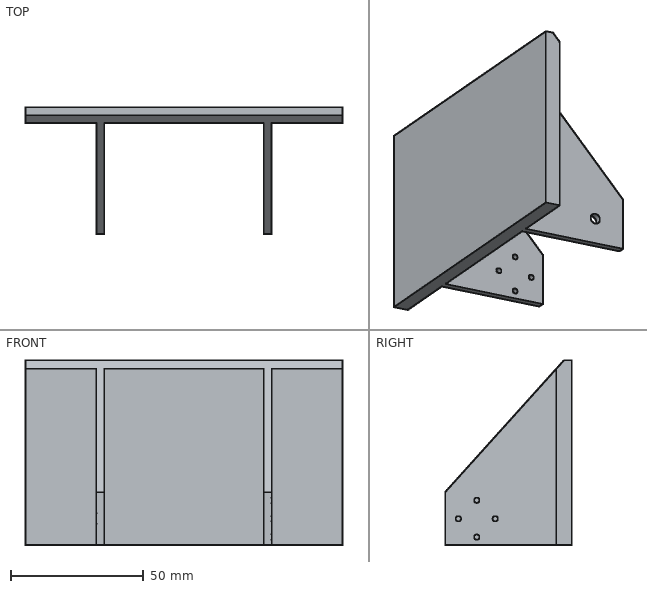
import cadquery as cq

plate_width = 120.0
plate_thickness = 6.0
height = 70.0
depth = 48.0

top_flat = 3.0
front_edge_height = 20.0

rib_thickness = 3.0
rib_inset = 26.9

pivot_from_front = 12.0
pivot_height = 10.0
pivot_diameter = 4.0
screw_diameter = 2.0
screw_circle_radius = 7.0
screw_count = 4

plate_left = -plate_width / 2
left_rib_x = plate_left + rib_inset
right_rib_x = plate_width / 2 - rib_inset - rib_thickness


def side_plane(x):
    """Plane at x facing +X, with local axes along Y and Z."""
    return cq.Workplane("YZ", origin=(x, 0, 0))


def wedge(x, width):
    """Full side outline, extruded along +X from x."""
    outline = [
        (0, 0),
        (depth, 0),
        (depth, height),
        (depth - top_flat, height),
        (0, front_edge_height),
    ]
    return side_plane(x).polyline(outline).close().extrude(width)


def back_plate():
    """Plate whose top front edge is bevelled by the slope of the ribs."""
    block = (
        side_plane(plate_left)
        .moveTo(depth - plate_thickness, 0)
        .rect(plate_thickness, height, centered=False)
        .extrude(plate_width)
    )
    return block.intersect(wedge(plate_left, plate_width))


def left_rib():
    pivot_hole = (
        side_plane(left_rib_x)
        .center(pivot_from_front, pivot_height)
        .circle(pivot_diameter / 2)
        .extrude(rib_thickness)
    )
    return wedge(left_rib_x, rib_thickness).cut(pivot_hole)


def right_rib():
    screw_holes = (
        side_plane(right_rib_x)
        .center(pivot_from_front, pivot_height)
        .polarArray(screw_circle_radius, 0, 360, screw_count)
        .circle(screw_diameter / 2)
        .extrude(rib_thickness)
    )
    return wedge(right_rib_x, rib_thickness).cut(screw_holes)


result = back_plate().union(left_rib()).union(right_rib())